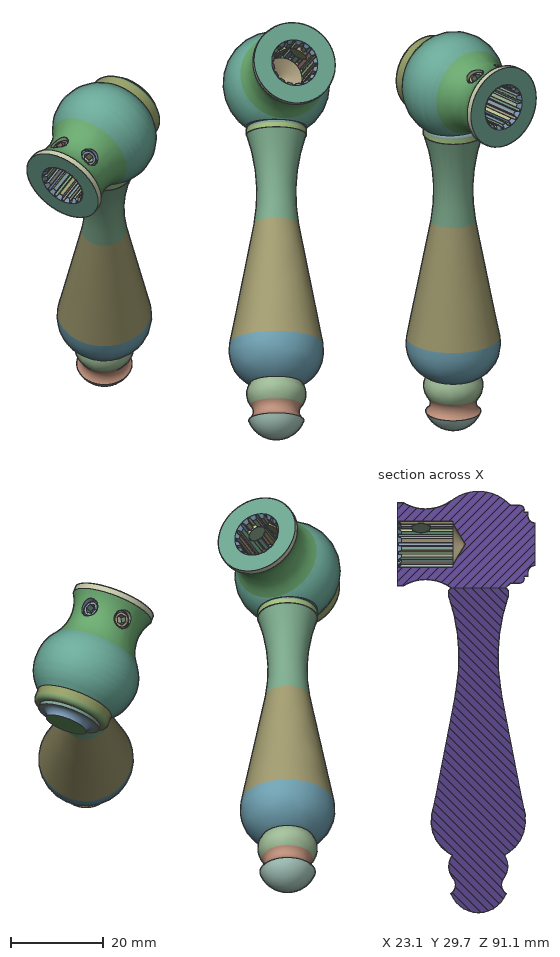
import cadquery as cq
import math


ball_radius = 11.555
ball_arc_radius = 9.3
front_y = -17.5
overall_length = 29.72
back_y = front_y + overall_length
flange_radius = 9.0
flange_length = 1.3
neck_radius = 7.65
neck_y = -11.3
neck_start_y = -6.04
cap_radius = 8.45
cap_edge_radius = 1.1
cap_face_y = 9.9
step_radius = 6.95
step_height = 0.8
step_face_y = cap_face_y + step_height
button_radius = 4.6

spline_count = 16
spline_root_radius = 4.95
spline_tip_radius = 4.4
bore_mouth_radius = 5.1
bore_lead_length = 0.9
bore_depth = 12.0
drill_point_angle = 118.0
groove_root_share = 0.3
groove_mouth_share = 0.5
groove_overlap = 0.5

screw_radius = 2.0
screw_y = -12.4
screw_angles = (-30.0, 30.0)
screw_tip_distance = 4.0
screw_head_distance = 7.1
screw_chamfer = 0.4
socket_across_flats = 2.0
socket_depth = 2.0

handle_top_z = -9.5
overall_height = 91.1
handle_bottom_z = ball_radius - overall_height
collar_radius = 6.5
collar_fillet = 0.8
collar_bottom_z = -11.35
flare_radius = 6.4
waist_radius = 4.25
waist_z = -24.0
taper_start_radius = 4.85
taper_start_z = -31.4
bulb_radius = 10.1
bulb_z = -58.25
ring_top_radius = 5.65
ring_top_z = -67.1
ring_radius = 6.45
ring_z = -69.3
ring_bottom_radius = 5.5
ring_bottom_z = -72.05
groove_radius = 5.0
groove_z = -73.4
dome_radius = 6.0
dome_z = -75.4


def ball_profile_radius(y):
    """Radius of the ball section at a place along the hub axis."""
    arc_centre = ball_radius - ball_arc_radius
    return arc_centre + math.sqrt(ball_arc_radius**2 - y**2)


def ball_profile_y(radius):
    """Place behind the ball's middle where the ball section has the given radius."""
    arc_centre = ball_radius - ball_arc_radius
    return math.sqrt(ball_arc_radius**2 - (radius - arc_centre)**2)


def make_hub_blank():
    flange_back_y = front_y + flange_length
    cap_start_y = ball_profile_y(cap_radius)
    button_height = back_y - step_face_y
    blank = (
        cq.Workplane("XY")
        .moveTo(0, front_y)
        .lineTo(flange_radius, front_y)
        .lineTo(flange_radius, flange_back_y)
        .threePointArc((neck_radius, neck_y), (ball_profile_radius(neck_start_y), neck_start_y))
        .threePointArc((ball_radius, 0), (cap_radius, cap_start_y))
        .lineTo(cap_radius, cap_face_y - cap_edge_radius)
        .radiusArc((cap_radius - cap_edge_radius, cap_face_y), -cap_edge_radius)
        .lineTo(step_radius, cap_face_y)
        .lineTo(step_radius, step_face_y)
        .lineTo(button_radius + button_height, step_face_y)
        .radiusArc((button_radius, back_y), button_height)
        .lineTo(0, back_y)
        .close()
        .revolve(360, (0, 0), (0, 1))
    )
    below_seat = cq.Workplane("XY", origin=(0, 0, handle_top_z)).circle(ball_radius).extrude(-ball_radius)
    return blank.cut(below_seat)


def spline_groove():
    """Cutter for one groove, placed at the top of the bore and reaching a little inside it."""
    half_pitch = math.pi / spline_count
    root_half = spline_root_radius * math.sin(half_pitch * groove_root_share)
    mouth_half = spline_tip_radius * math.sin(half_pitch * groove_mouth_share)
    start = spline_tip_radius * math.cos(half_pitch * groove_mouth_share)
    inner = start - groove_overlap
    return (
        cq.Workplane("XZ", origin=(0, front_y, 0))
        .polyline([
            (-mouth_half, inner),
            (-mouth_half, start),
            (-root_half, spline_root_radius),
            (root_half, spline_root_radius),
            (mouth_half, start),
            (mouth_half, inner),
        ])
        .close()
        .extrude(-bore_depth)
    )


def make_bore():
    bore_end_y = front_y + bore_depth
    point_length = spline_tip_radius / math.tan(math.radians(drill_point_angle / 2))
    bore = (
        cq.Workplane("XY")
        .moveTo(0, front_y)
        .lineTo(bore_mouth_radius, front_y)
        .lineTo(spline_tip_radius, front_y + bore_lead_length)
        .lineTo(spline_tip_radius, bore_end_y)
        .lineTo(0, bore_end_y + point_length)
        .close()
        .revolve(360, (0, 0), (0, 1))
    )
    for index in range(spline_count):
        angle = 360 * index / spline_count
        bore = bore.union(spline_groove().rotate((0, 0, 0), (0, 1, 0), angle))
    return bore


def place_screw_shape(shape, angle):
    """Turn a shape standing on the +Z axis about the hub axis and move it to the screw's place."""
    return shape.rotate((0, 0, 0), (0, 1, 0), angle).translate((0, screw_y, 0))


def make_hub():
    hub = make_hub_blank().cut(make_bore())
    hole_start = cq.Workplane("XY", origin=(0, 0, screw_tip_distance))
    screw_hole = hole_start.circle(screw_radius).extrude(ball_radius - screw_tip_distance)
    for angle in screw_angles:
        hub = hub.cut(place_screw_shape(screw_hole, angle))
    return hub


def make_set_screw(angle):
    socket_across_corners = socket_across_flats / math.cos(math.pi / 6)
    screw = (
        cq.Workplane("XY", origin=(0, 0, screw_tip_distance))
        .circle(screw_radius)
        .extrude(screw_head_distance - screw_tip_distance)
        .faces(">Z")
        .chamfer(screw_chamfer)
        .faces(">Z")
        .workplane()
        .polygon(6, socket_across_corners)
        .cutBlind(-socket_depth)
    )
    return place_screw_shape(screw, angle)


def make_handle():
    dome_height = dome_z - handle_bottom_z
    dome_arc_radius = (dome_radius**2 + dome_height**2) / (2 * dome_height)
    return (
        cq.Workplane("XZ")
        .moveTo(0, handle_top_z)
        .lineTo(collar_radius - collar_fillet, handle_top_z)
        .radiusArc((collar_radius, handle_top_z - collar_fillet), collar_fillet)
        .lineTo(collar_radius, collar_bottom_z)
        .lineTo(flare_radius, collar_bottom_z)
        .threePointArc((waist_radius, waist_z), (taper_start_radius, taper_start_z))
        .lineTo(bulb_radius, bulb_z)
        .tangentArcPoint((ring_top_radius, ring_top_z), relative=False)
        .threePointArc((ring_radius, ring_z), (ring_bottom_radius, ring_bottom_z))
        .threePointArc((groove_radius, groove_z), (dome_radius, dome_z))
        .radiusArc((0, handle_bottom_z), dome_arc_radius)
        .close()
        .revolve(360, (0, 0), (0, 1))
    )


hub = make_hub()
handle = make_handle()
set_screws = [make_set_screw(angle) for angle in screw_angles]

result = cq.Compound.makeCompound([hub.val(), handle.val(), *[screw.val() for screw in set_screws]])